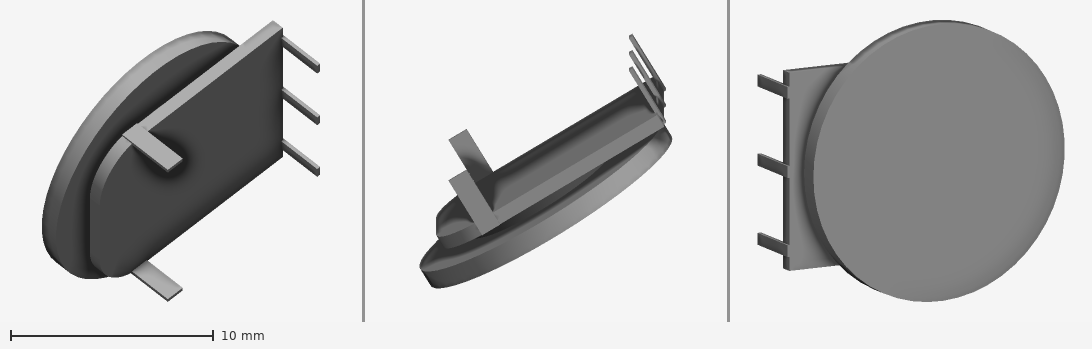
import cadquery as cq
import math

disc_diameter = 14.0
disc_thickness = 1.0
neck_diameter = 8.0
neck_thickness = 0.61
plate_thickness = 0.69
total_depth = 4.8
total_width = 14.6

pin_thickness = 0.2
pin_protrusion = 0.1
end_pin_width = 0.6
end_pin_pitch = 4.0
side_pin_width = 1.04
side_pin_y = -2.48

plate_half_height = 5.01
plate_top_y = total_width - disc_diameter / 2 - pin_protrusion
plate_bottom_y = -5.24
bottom_flat_half_height = 2.1
corner_radius = 3.0

corner_rise = plate_half_height - bottom_flat_half_height
corner_start_y = plate_bottom_y + corner_radius - math.sqrt(corner_radius**2 - corner_rise**2)

plate_x = disc_thickness + neck_thickness
pin_length = total_depth - plate_x


def make_disc(diameter, thickness, start_x):
    return cq.Workplane("YZ", origin=(start_x, 0, 0)).circle(diameter / 2).extrude(thickness)


def make_plate():
    return (
        cq.Workplane("YZ", origin=(plate_x, 0, 0))
        .moveTo(plate_top_y, -plate_half_height)
        .lineTo(plate_top_y, plate_half_height)
        .lineTo(corner_start_y, plate_half_height)
        .radiusArc((plate_bottom_y, bottom_flat_half_height), -corner_radius)
        .lineTo(plate_bottom_y, -bottom_flat_half_height)
        .radiusArc((corner_start_y, -plate_half_height), -corner_radius)
        .close()
        .extrude(plate_thickness)
    )


def make_pin(center_y, center_z, size_y, size_z):
    return (
        cq.Workplane("YZ", origin=(plate_x, center_y, center_z))
        .rect(size_y, size_z)
        .extrude(pin_length)
    )


result = (
    make_disc(disc_diameter, disc_thickness, 0)
    .union(make_disc(neck_diameter, neck_thickness, disc_thickness))
    .union(make_plate())
)

pin_center_offset = pin_protrusion - pin_thickness / 2

for row in (-1, 0, 1):
    result = result.union(
        make_pin(plate_top_y + pin_center_offset, row * end_pin_pitch, pin_thickness, end_pin_width)
    )

for side in (-1, 1):
    side_pin_z = side * (plate_half_height + pin_center_offset)
    result = result.union(make_pin(side_pin_y, side_pin_z, side_pin_width, pin_thickness))